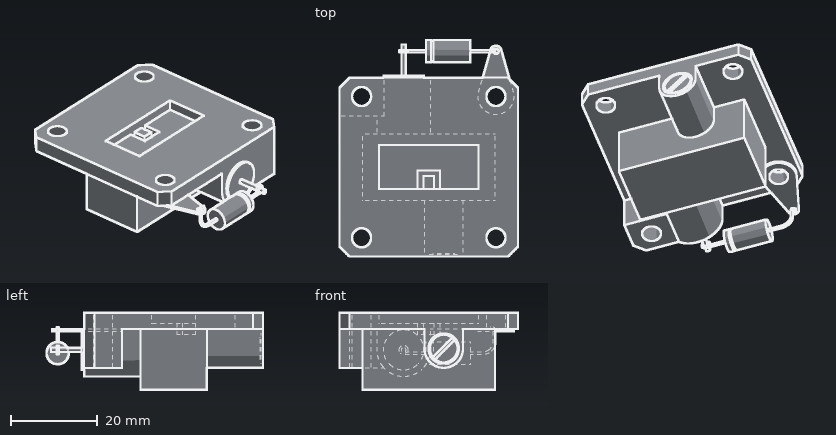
import cadquery as cq
import math

flange_side = 41.15
flange_half = flange_side / 2
flange_thick = 3.8
corner_chamfer = 2.35
mount_hole_dia = 4.35
mount_hole_x = 15.45
mount_hole_y = 16.25

pocket_x = 22.85
pocket_y = 10.15
pocket_depth = 2.55
recess_x = 5.15
recess_y = 4.3
recess_depth = 2.55
tab_x = 2.5
tab_y = 3.0

block_x = 30.5
block_y = 15.25
total_height = 17.8
corner_block_y = 8.75
corner_block_bottom = -12.75

screw_boss_x = 3.45
screw_boss_z = -8.25
screw_boss_radius = 4.45
connector_x = -5.8
connector_z = -8.55
connector_boss_radius = 6.15

screw_bore_radius = 3.5
screw_radius = 3.2
screw_gap_depth = 0.5
slot_width = 0.75
slot_depth = 0.75
slot_angle = 45

cover_radius = 4.65
cover_thick = 0.55
pin_radius = 0.525
pin_end_y = 28.2

tag_thick = 0.55
tag_ring_radius = 4.15
tag_tip_radius = 1.3
tag_eye_dia = 1.2

lead_radius = 0.3
can_radius = 2.6
can_start_x = -0.65
can_end_x = 9.55
can_y = 26.65
groove_x = 0.8
groove_radius = 0.25
pin_loop_radius = 0.75
can_z = connector_z - pin_loop_radius
lead_bend_radius = 2.6
lead_rise_x = mount_hole_x - 0.4
hook_bend_radius = 0.45
hook_z = -3.6
hook_end_x = 14.15


def y_cylinder(x, z, radius, y_start, y_end):
    """Cylinder along Y between two Y positions."""
    return cq.Workplane("XZ", origin=(x, y_start, z)).circle(radius).extrude(y_start - y_end)


def round_bottom_boss(x, z, radius, y_start, y_end):
    """Half-round boss along Y with straight sides rising into the flange."""
    length = y_end - y_start
    sides = cq.Workplane("XY", origin=(x, (y_start + y_end) / 2, 0)).rect(2 * radius, length).extrude(z)
    return sides.union(y_cylinder(x, z, radius, y_start, y_end))


def make_body():
    """Flange with the blocks and bosses below it, chamfered at its corners."""
    flange = cq.Workplane("XY").rect(flange_side, flange_side).extrude(-flange_thick)
    block = cq.Workplane("XY").rect(block_x, block_y).extrude(-total_height)
    corner_block_x = connector_x + flange_half
    corner_block = (
        cq.Workplane("XY", origin=(-flange_half, flange_half - corner_block_y, 0))
        .rect(corner_block_x, corner_block_y, centered=False)
        .extrude(corner_block_bottom)
    )
    screw_boss = round_bottom_boss(screw_boss_x, screw_boss_z, screw_boss_radius, -flange_half, 0)
    connector_boss = round_bottom_boss(connector_x, connector_z, connector_boss_radius, 0, flange_half)
    body = flange.union(block).union(corner_block).union(screw_boss).union(connector_boss)
    envelope = (
        cq.Workplane("XY")
        .rect(flange_side, flange_side)
        .extrude(-total_height)
        .edges("|Z")
        .chamfer(corner_chamfer)
    )
    return body.intersect(envelope)


def make_pocket():
    """Waveguide opening and the recess that surrounds a tab at the front wall."""
    front_y = -pocket_y / 2
    pocket = cq.Workplane("XY").rect(pocket_x, pocket_y).extrude(-pocket_depth)
    floor = cq.Workplane("XY", origin=(0, 0, -pocket_depth))
    recess = floor.center(0, front_y + recess_y / 2).rect(recess_x, recess_y).extrude(-recess_depth)
    tab = floor.center(0, front_y + tab_y / 2).rect(tab_x, tab_y).extrude(-recess_depth)
    return pocket.union(recess.cut(tab))


def make_screw_cut():
    """Ring gap around the screw head and the slanted driver slot across it."""
    front = cq.Workplane("XZ", origin=(screw_boss_x, -flange_half, screw_boss_z))
    gap = front.circle(screw_bore_radius).circle(screw_radius).extrude(-screw_gap_depth)
    slot = (
        front.transformed(rotate=(0, 0, slot_angle))
        .rect(2 * screw_bore_radius, slot_width)
        .extrude(-slot_depth)
    )
    head = front.circle(screw_radius).extrude(-slot_depth)
    return gap.union(slot.intersect(head))


def make_tag():
    """Teardrop plate: a large ring and a small tip joined by tangent lines."""
    reach = can_y - mount_hole_y
    taper = (tag_ring_radius - tag_tip_radius) / reach
    spread = math.sqrt(1 - taper**2)

    def tangent_point(side, radius, y):
        return (mount_hole_x + side * radius * spread, y + radius * taper)

    return (
        cq.Workplane("XY", origin=(0, 0, -flange_thick))
        .moveTo(*tangent_point(1, tag_ring_radius, mount_hole_y))
        .lineTo(*tangent_point(1, tag_tip_radius, can_y))
        .threePointArc(
            (mount_hole_x, can_y + tag_tip_radius),
            tangent_point(-1, tag_tip_radius, can_y),
        )
        .lineTo(*tangent_point(-1, tag_ring_radius, mount_hole_y))
        .threePointArc(
            (mount_hole_x, mount_hole_y - tag_ring_radius),
            tangent_point(1, tag_ring_radius, mount_hole_y),
        )
        .close()
        .extrude(-tag_thick)
        .cut(cq.Workplane("XY").center(mount_hole_x, can_y).circle(tag_eye_dia / 2).extrude(-total_height))
    )


def make_capacitor():
    """Grooved can with one lead looped round the pin and the other hooked over the tip of the tag."""
    can = (
        cq.Workplane("XY", origin=(0, can_y, can_z))
        .moveTo(can_start_x, 0)
        .lineTo(can_start_x, can_radius)
        .lineTo(groove_x - groove_radius, can_radius)
        .threePointArc((groove_x, can_radius - groove_radius), (groove_x + groove_radius, can_radius))
        .lineTo(can_end_x, can_radius)
        .lineTo(can_end_x, 0)
        .close()
        .revolve(360, (0, 0, 0), (1, 0, 0))
    )
    lead_path = (
        cq.Workplane("XZ", origin=(0, can_y, 0))
        .moveTo(connector_x, can_z)
        .lineTo(lead_rise_x - lead_bend_radius, can_z)
        .tangentArcPoint((lead_rise_x, can_z + lead_bend_radius), relative=False)
        .lineTo(lead_rise_x, hook_z - hook_bend_radius)
        .tangentArcPoint((lead_rise_x - hook_bend_radius, hook_z), relative=False)
        .lineTo(hook_end_x, hook_z)
    )
    lead = cq.Workplane("YZ", origin=(connector_x, can_y, can_z)).circle(lead_radius).sweep(lead_path)
    pin_loop = cq.Workplane(
        cq.Solid.makeTorus(
            pin_loop_radius,
            lead_radius,
            cq.Vector(connector_x, can_y, connector_z),
            cq.Vector(0, 1, 0),
        )
    )
    return can.union(lead).union(pin_loop)


cover = y_cylinder(connector_x, connector_z, cover_radius, flange_half, flange_half + cover_thick)
pin = y_cylinder(connector_x, connector_z, pin_radius, flange_half, pin_end_y)
mount_holes = (
    cq.Workplane("XY")
    .rect(2 * mount_hole_x, 2 * mount_hole_y, forConstruction=True)
    .vertices()
    .circle(mount_hole_dia / 2)
    .extrude(-total_height)
)

result = (
    make_body()
    .cut(make_pocket())
    .cut(make_screw_cut())
    .union(make_tag())
    .union(cover)
    .union(pin)
    .union(make_capacitor())
    .cut(mount_holes)
)